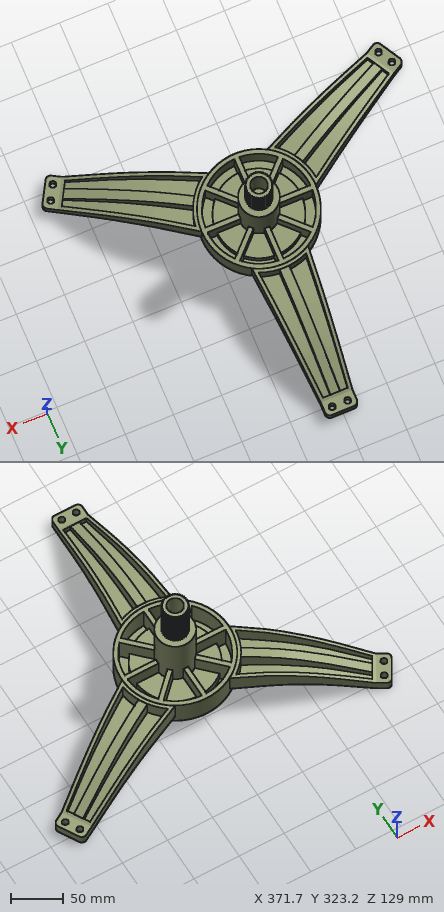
import cadquery as cq
import math

total_height = 129.0
spline_length = 43.0
sleeve_top = total_height - spline_length
hub_top = 42.6
hub_height = 30.0
hub_bottom = hub_top - hub_height
hub_floor_top = 26.0
groove_floor_top = 17.0

hub_diameter = 118.61
hub_wall = 4.8
hub_inner_radius = hub_diameter / 2 - hub_wall
hub_floor_radius = 44.5
hub_bottom_round = 2.0
hub_rib_count = 8
hub_rib_width = 5.2

sleeve_diameter = 40.0
bore_diameter = 16.8
spline_tip_radius = 13.4
spline_root_radius = 12.4
spline_tooth_count = 36

arm_count = 3
arm_reach = 207.17
arm_wall = 4.0
arm_floor_thickness = 4.0
arm_cut_clearance = 4.0
arm_root_bottom = 22.3
arm_root_top = hub_top - 0.5
arm_root_half_width = 29.7
arm_root_y = 45.0
arm_middle_half_width = 23.3
arm_middle_y = 120.0
arm_rib_width = 10.0
arm_rib_drop = 0.5
pocket_inner_radius = 63.0
pocket_end_y = 188.5

pad_width = 33.0
pad_length = 15.2
pad_thickness = 10.2
pad_inner_y = arm_reach - pad_length
pad_corner_radius = 5.0
pad_junction_radius = 3.0
pad_hole_diameter = 6.6
pad_hole_pitch = 16.0
pad_hole_inset = 7.5

arm_curve_start_y = 55.0
arm_top_curve = [
    (arm_curve_start_y, arm_root_top),
    (95.0, 40.2),
    (148.0, 27.0),
    (pad_inner_y, pad_thickness),
]
arm_bottom_curve = [
    (arm_curve_start_y, arm_root_bottom),
    (98.0, 22.1),
    (144.0, 15.1),
    (pad_inner_y, 0.0),
]
arm_top_end_direction = (-1, 0.39)
arm_bottom_end_direction = (1, -0.32)


def arm_side_band(bottom_raise, top_drop, half_width):
    """Solid between the arm's lower and upper curves, the first raised and the second dropped."""
    low = [(y, z + bottom_raise) for y, z in arm_bottom_curve]
    high = [(y, z - top_drop) for y, z in arm_top_curve]
    level = (1, 0)
    return (
        cq.Workplane("YZ", origin=(-half_width, 0, 0))
        .moveTo(0, low[0][1])
        .lineTo(*low[0])
        .spline(low[1:], tangents=[level, arm_bottom_end_direction], includeCurrent=True)
        .lineTo(*high[-1])
        .spline(high[-2::-1], tangents=[arm_top_end_direction, (-1, 0)], includeCurrent=True)
        .lineTo(0, high[0][1])
        .close()
        .extrude(2 * half_width)
    )


def arm_plan(inset):
    """Tapering plan of the arm up to its pad, moved inward by inset on both sides."""
    root = arm_root_half_width - inset
    middle = arm_middle_half_width - inset
    tip = pad_width / 2 - inset
    return (
        cq.Workplane("XY")
        .moveTo(-root, 0)
        .lineTo(-root, arm_root_y)
        .threePointArc((-middle, arm_middle_y), (-tip, pad_inner_y))
        .lineTo(tip, pad_inner_y)
        .threePointArc((middle, arm_middle_y), (root, arm_root_y))
        .lineTo(root, 0)
        .close()
        .extrude(total_height)
    )


def make_pad():
    pad = (
        cq.Workplane("XY")
        .center(0, pad_inner_y + pad_length / 2)
        .rect(pad_width, pad_length)
        .extrude(pad_thickness)
        .edges("|Z and >Y")
        .fillet(pad_corner_radius)
    )
    holes = (
        cq.Workplane("XY")
        .pushPoints([(side * pad_hole_pitch / 2, arm_reach - pad_hole_inset) for side in (-1, 1)])
        .circle(pad_hole_diameter / 2)
        .extrude(pad_thickness)
    )
    return pad.cut(holes)


def make_arm():
    body = arm_side_band(0, 0, hub_diameter).intersect(arm_plan(0))
    hub_end = cq.Workplane("XY").circle(pocket_inner_radius).extrude(total_height)
    pad_end = (
        cq.Workplane("XY", origin=(0, pocket_end_y + pad_length / 2, 0))
        .rect(2 * pad_width, pad_length)
        .extrude(total_height)
    )
    pocket = arm_plan(arm_wall).cut(hub_end).cut(pad_end)
    body = body.cut(pocket.intersect(arm_side_band(arm_floor_thickness, -arm_cut_clearance, hub_diameter)))
    rib = arm_side_band(arm_floor_thickness / 2, arm_rib_drop, arm_rib_width / 2).intersect(pocket)
    arm = body.union(rib).union(make_pad())
    junction = cq.selectors.NearestToPointSelector((0, pad_inner_y, pad_thickness))
    return arm.edges("|X").edges(junction).fillet(pad_junction_radius)


def make_hub_drum():
    return (
        cq.Workplane("XY", origin=(0, 0, hub_bottom))
        .circle(hub_diameter / 2)
        .extrude(hub_height)
        .faces("<Z")
        .edges()
        .fillet(hub_bottom_round)
    )


def make_hub_cavity():
    cavity = (
        cq.Workplane("XY", origin=(0, 0, groove_floor_top))
        .circle(hub_inner_radius)
        .extrude(total_height)
    )
    floor = (
        cq.Workplane("XY", origin=(0, 0, groove_floor_top))
        .circle(hub_floor_radius)
        .extrude(hub_floor_top - groove_floor_top)
    )
    return cavity.cut(floor)


def make_hub_ribs():
    ribs = cq.Workplane("XY")
    rib_length = hub_diameter / 2 - hub_wall / 2
    for index in range(hub_rib_count):
        rib = (
            cq.Workplane("XY", origin=(0, 0, groove_floor_top))
            .center(rib_length / 2, 0)
            .rect(rib_length, hub_rib_width)
            .extrude(hub_top - groove_floor_top)
            .rotate((0, 0, 0), (0, 0, 1), index * 360 / hub_rib_count)
        )
        ribs = ribs.union(rib)
    return ribs


def make_shaft():
    sleeve = (
        cq.Workplane("XY", origin=(0, 0, hub_floor_top))
        .circle(sleeve_diameter / 2)
        .extrude(sleeve_top - hub_floor_top)
    )
    outline = []
    for index in range(2 * spline_tooth_count):
        radius = spline_root_radius if index % 2 else spline_tip_radius
        angle = index * math.pi / spline_tooth_count
        outline.append((radius * math.cos(angle), radius * math.sin(angle)))
    spline = (
        cq.Workplane("XY", origin=(0, 0, sleeve_top))
        .polyline(outline)
        .close()
        .extrude(spline_length)
    )
    bore = (
        cq.Workplane("XY", origin=(0, 0, sleeve_top))
        .circle(bore_diameter / 2)
        .extrude(spline_length)
    )
    return sleeve.union(spline.cut(bore))


def make_part():
    body = make_hub_drum()
    arm = make_arm()
    for index in range(arm_count):
        body = body.union(arm.rotate((0, 0, 0), (0, 0, 1), index * 360 / arm_count))
    return body.cut(make_hub_cavity()).union(make_hub_ribs()).union(make_shaft())


result = make_part()